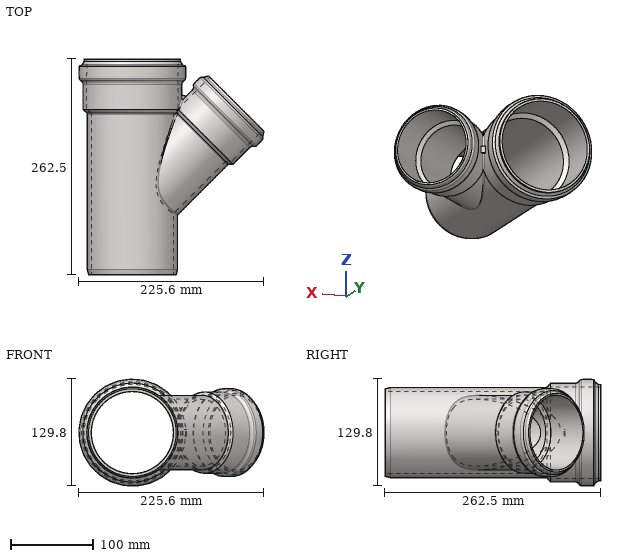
import cadquery as cq
import math

BRANCH_ANGLE = 45.0
RUN_MOUTH = 180.5
RUN_TAIL = 82.0
BRANCH_MOUTH = 178.8
CROTCH_FILLET = 1.2

WEB_THICKNESS = 8.0
WEB_TOP_AT_RUN = 136.7
WEB_TOP_AT_BRANCH = 135.6

SPIGOT_TAPER_LENGTH = 6.7
SPIGOT_TAPER_ANGLE = 15.0

BEAD_ROUNDING = 0.4
NECK_HOLLOW = -0.8

RUN = {
    "mouth_radius": 117.4 / 2,
    "lip_radius": 117.4 / 2,
    "lip_depth": 2.8,
    "collar_radius": 123.6 / 2,
    "collar_depth": 7.4,
    "bead_radius": 130.53 / 2,
    "bead_edge_radius": 129.8 / 2,
    "bead_top": 8.8,
    "bead_bottom": 23.3,
    "bead_heel_radius": 63.2,
    "bead_heel": 26.2,
    "socket_radius": 120.5 / 2,
    "socket_top": 31.0,
    "socket_bottom": 61.2,
    "shoulder_radius": 110.9 / 2,
    "shoulder_bottom": 65.4,
    "pipe_top": 67.2,
    "pipe_radius": 110.3 / 2,
    "socket_bore_radius": 111.2 / 2,
    "pipe_bore_radius": 99.7 / 2,
}
BRANCH = {
    "mouth_radius": 47.95,
    "lip_radius": 50.0,
    "lip_depth": 3.4,
    "collar_radius": 51.3,
    "collar_depth": 5.7,
    "bead_radius": 53.9,
    "bead_edge_radius": 53.6,
    "bead_top": 8.6,
    "bead_bottom": 19.1,
    "bead_heel_radius": 52.5,
    "bead_heel": 21.6,
    "socket_radius": 99.0 / 2,
    "socket_top": 26.4,
    "socket_bottom": 55.0,
    "shoulder_radius": 91.1 / 2,
    "shoulder_bottom": 59.1,
    "pipe_top": 60.2,
    "pipe_radius": 90.8 / 2,
    "socket_bore_radius": 91.1 / 2,
    "pipe_bore_radius": 81.3 / 2,
}


def bulged(start, end, bulge):
    """Middle point of an arc that bows outward from the chord by bulge."""
    (r1, y1), (r2, y2) = start, end
    length = math.hypot(r2 - r1, y2 - y1)
    middle_radius = (r1 + r2) / 2 + bulge * (y1 - y2) / length
    middle_y = (y1 + y2) / 2 + bulge * (r2 - r1) / length
    return middle_radius, middle_y


def revolve_about_y(outline):
    return outline.close().revolve(360, (0, 0, 0), (0, 1, 0))


def outer_body(size, mouth, tail, tail_taper=0.0):
    """Solid socket and pipe from y = mouth down to y = tail."""
    bead_start = (size["bead_edge_radius"], mouth - size["bead_top"])
    bead_end = (size["bead_edge_radius"], mouth - size["bead_bottom"])
    bead_middle = (size["bead_radius"], (bead_start[1] + bead_end[1]) / 2)
    collar = (size["collar_radius"], mouth - size["collar_depth"])
    heel = (size["bead_heel_radius"], mouth - size["bead_heel"])
    neck = (size["socket_radius"], mouth - size["socket_top"])
    outline = (
        cq.Workplane("XY")
        .moveTo(0, mouth)
        .lineTo(size["mouth_radius"], mouth)
        .lineTo(size["lip_radius"], mouth - size["lip_depth"])
        .lineTo(*collar)
        .threePointArc(bulged(collar, bead_start, BEAD_ROUNDING), bead_start)
        .threePointArc(bead_middle, bead_end)
        .threePointArc(bulged(bead_end, heel, BEAD_ROUNDING), heel)
        .threePointArc(bulged(heel, neck, NECK_HOLLOW), neck)
        .lineTo(size["socket_radius"], mouth - size["socket_bottom"])
        .lineTo(size["shoulder_radius"], mouth - size["shoulder_bottom"])
        .lineTo(size["pipe_radius"], mouth - size["pipe_top"])
    )
    if tail_taper:
        end_radius = size["pipe_radius"] - tail_taper * math.tan(math.radians(SPIGOT_TAPER_ANGLE))
        outline = outline.lineTo(size["pipe_radius"], tail + tail_taper).lineTo(end_radius, tail)
    else:
        outline = outline.lineTo(size["pipe_radius"], tail)
    return revolve_about_y(outline.lineTo(0, tail))


def bore(size, mouth, tail):
    """Socket bore, conical stop and pipe bore."""
    return revolve_about_y(
        cq.Workplane("XY")
        .moveTo(0, mouth)
        .lineTo(size["socket_bore_radius"], mouth)
        .lineTo(size["socket_bore_radius"], mouth - size["socket_bottom"])
        .lineTo(size["pipe_bore_radius"], mouth - size["shoulder_bottom"])
        .lineTo(size["pipe_bore_radius"], tail)
        .lineTo(0, tail)
    )


def along_y(radius, start, end):
    return cq.Workplane("XZ", origin=(0, start, 0)).circle(radius).extrude(start - end)


def to_branch(body):
    return body.rotate((0, 0, 0), (0, 0, 1), -BRANCH_ANGLE)


def pipe_junction():
    """Plain run and branch pipes with the seam between them rounded.

    The run pipe reaches far enough into its socket to hold the whole seam.
    """
    seam_cover = 14.0
    seam_top = RUN_MOUTH - RUN["socket_bottom"] + seam_cover
    branch_reach = BRANCH_MOUTH - BRANCH["shoulder_bottom"]
    run_pipe = along_y(RUN["pipe_radius"], SPIGOT_TAPER_LENGTH - RUN_TAIL, seam_top)
    branch_pipe = to_branch(along_y(BRANCH["pipe_radius"], 0, branch_reach))
    return run_pipe.union(branch_pipe).edges("%BSPLINE").fillet(CROTCH_FILLET)


def round_socket_crotch(body):
    """Round the seam where the two sockets run into each other."""
    socket_start = RUN_MOUTH - RUN["socket_bottom"]
    seam_width = 2 * BRANCH["socket_radius"]
    seam_length = 15.0
    end_clearance = 2.0
    seam_zone = cq.selectors.BoxSelector(
        (RUN["pipe_bore_radius"], socket_start + end_clearance, -seam_width / 2),
        (RUN["bead_radius"], socket_start + seam_length, seam_width / 2),
    )
    return body.edges(seam_zone).edges("%BSPLINE").fillet(CROTCH_FILLET)


def notch_web():
    """Flat web across the notch, its foot and sides sunk into both sockets."""
    run_x = RUN["socket_radius"]
    branch_offset = BRANCH["socket_radius"] / math.cos(math.radians(BRANCH_ANGLE))
    branch_x = WEB_TOP_AT_BRANCH - branch_offset
    crotch_y = run_x + branch_offset
    root = 1.5
    return (
        cq.Workplane("XY")
        .moveTo(run_x - root, WEB_TOP_AT_RUN)
        .lineTo(run_x, WEB_TOP_AT_RUN)
        .lineTo(branch_x, WEB_TOP_AT_BRANCH)
        .lineTo(branch_x + root, WEB_TOP_AT_BRANCH - root)
        .lineTo(run_x, crotch_y - root)
        .lineTo(run_x - root, crotch_y - root)
        .close()
        .extrude(WEB_THICKNESS / 2, both=True)
    )


run = outer_body(RUN, RUN_MOUTH, -RUN_TAIL, SPIGOT_TAPER_LENGTH)
branch = to_branch(outer_body(BRANCH, BRANCH_MOUTH, 0))

run_bore = bore(RUN, RUN_MOUTH, -RUN_TAIL)
branch_bore = to_branch(bore(BRANCH, BRANCH_MOUTH, 0))

outer = round_socket_crotch(run.union(branch))
outer = outer.union(pipe_junction()).union(notch_web())
result = outer.cut(run_bore).cut(branch_bore)